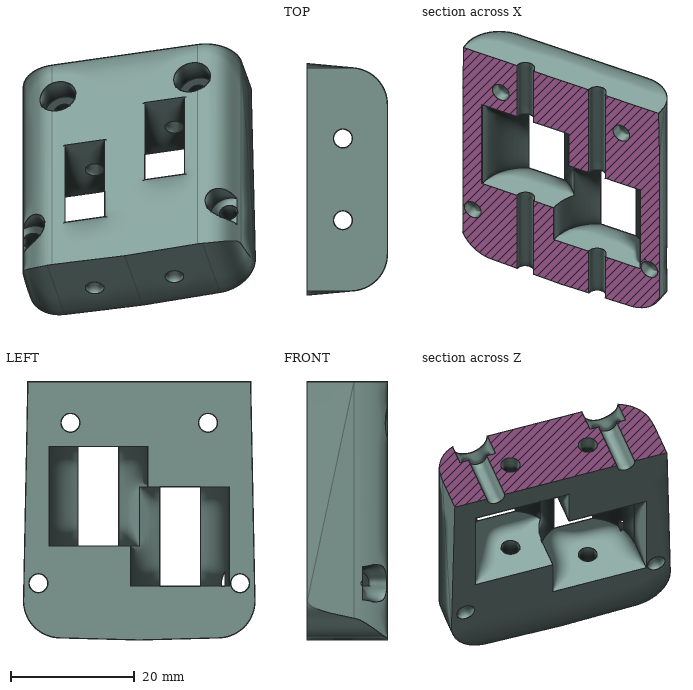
import cadquery as cq

THICKNESS = 13.0
HEIGHT = 41.73
TOP_HALF_WIDTH = 18.0
BASE_HALF_WIDTH = 18.7
FRONT_HALF_WIDTH = 17.5
BOTTOM_CORNER_HALF_WIDTH = 18.81
BOTTOM_CORNER_RISE = 0.5
CORNER_RADIUS = 6.0

POCKET_AXIS_X = 5.8
POCKET_AXIS_Y = 6.6
POCKET_HALF_WIDTH = 7.98
POCKET_RADIUS = 7.9
POCKET_HEIGHT = 16.0
POCKET_STEP = 6.5
UPPER_POCKET_FLOOR = 15.22
LOWER_POCKET_FLOOR = UPPER_POCKET_FLOOR - POCKET_STEP

HOLE_DIAMETER = 3.0
COUNTERBORE_DIAMETER = 6.0
COUNTERBORE_DEPTH = 4.0
UPPER_SCREW_Y = 11.1
UPPER_SCREW_Z = HEIGHT - 6.65
LOWER_SCREW_Y = 16.27
LOWER_SCREW_Z = HEIGHT - 32.55


def make_body():
    """Tapered shield outline along X, trimmed to a drafted, rounded outline along Z."""
    shield = (
        cq.Workplane("YZ")
        .moveTo(-TOP_HALF_WIDTH, HEIGHT)
        .lineTo(TOP_HALF_WIDTH, HEIGHT)
        .lineTo(BOTTOM_CORNER_HALF_WIDTH, BOTTOM_CORNER_RISE)
        .lineTo(0, 0)
        .lineTo(-BOTTOM_CORNER_HALF_WIDTH, BOTTOM_CORNER_RISE)
        .close()
        .extrude(THICKNESS)
    )
    corner_zone_top = 2 * BOTTOM_CORNER_RISE
    lower_corners = cq.selectors.BoxSelector(
        (-THICKNESS, -2 * BASE_HALF_WIDTH, BOTTOM_CORNER_RISE / 2),
        (2 * THICKNESS, 2 * BASE_HALF_WIDTH, corner_zone_top),
    )
    shield = shield.edges("|X").edges(lower_corners).fillet(CORNER_RADIUS)

    plan = (
        cq.Workplane("XY")
        .moveTo(0, -BASE_HALF_WIDTH)
        .lineTo(THICKNESS, -FRONT_HALF_WIDTH)
        .lineTo(THICKNESS, FRONT_HALF_WIDTH)
        .lineTo(0, BASE_HALF_WIDTH)
        .close()
        .extrude(HEIGHT)
        .edges("|Z and >X")
        .fillet(CORNER_RADIUS)
    )
    return shield.intersect(plan)


def make_pocket(axis_y, floor_z):
    """Straight-walled pocket from the X = 0 face that ends in a round about its Z axis."""
    straight = cq.Workplane("XY").box(
        POCKET_AXIS_X, 2 * POCKET_HALF_WIDTH, POCKET_HEIGHT, centered=(False, True, False)
    ).translate((0, axis_y, floor_z))
    rounded = (
        cq.Workplane("XY", origin=(POCKET_AXIS_X, axis_y, floor_z))
        .circle(POCKET_RADIUS)
        .extrude(POCKET_HEIGHT)
    )
    return straight.union(rounded)


def make_pin_hole(axis_y):
    """Hole along Z through the full height, on a pocket axis."""
    return (
        cq.Workplane("XY", origin=(POCKET_AXIS_X, axis_y, 0))
        .circle(HOLE_DIAMETER / 2)
        .extrude(HEIGHT)
    )


def make_screw_hole(y, z):
    """Hole along X through the thickness, counterbored from the X = THICKNESS face."""
    shank = cq.Workplane("YZ", origin=(0, y, z)).circle(HOLE_DIAMETER / 2).extrude(THICKNESS)
    head = (
        cq.Workplane("YZ", origin=(THICKNESS - COUNTERBORE_DEPTH, y, z))
        .circle(COUNTERBORE_DIAMETER / 2)
        .extrude(COUNTERBORE_DEPTH)
    )
    return shank.union(head)


result = make_body()
result = result.cut(make_pocket(POCKET_AXIS_Y, UPPER_POCKET_FLOOR))
result = result.cut(make_pocket(-POCKET_AXIS_Y, LOWER_POCKET_FLOOR))
for side in (-1, 1):
    result = result.cut(make_pin_hole(side * POCKET_AXIS_Y))
    result = result.cut(make_screw_hole(side * UPPER_SCREW_Y, UPPER_SCREW_Z))
    result = result.cut(make_screw_hole(side * LOWER_SCREW_Y, LOWER_SCREW_Z))